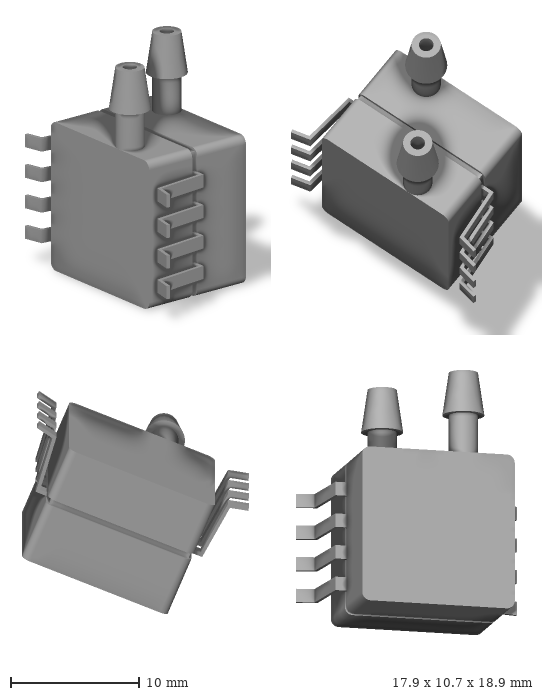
import cadquery as cq
import math


total_height = 18.92

housing_width = 12.32
housing_height = 12.34
front_shell_depth = 4.31
seam_depth = 0.5
back_shell_depth = 4.86
housing_depth = front_shell_depth + seam_depth + back_shell_depth
seam_inset = 0.26
corner_radius = 0.65

stem_diameter = 2.29
bore_diameter = 1.14
barb_base_diameter = 3.3
barb_tip_diameter = stem_diameter
barb_length = 3.4
port_spacing = 4.62
port_length = total_height - housing_height
stem_length = port_length - barb_length

lead_count = 4
lead_pitch = 2.54
lead_width = 1.08
lead_thickness = 0.28
lead_seam_gap = 0.05
lead_root_x = housing_width / 2 - seam_inset
shoulder_length = 1.14
leg_spread = 0.47
leg_drop = 4.56
foot_spread = 1.42
foot_drop = 0.32


def slab(width, height, front_y, depth):
    """Block centred on X and on the housing's mid-height, reaching back from front_y."""
    centre = (0, front_y + depth / 2, housing_height / 2)
    return cq.Workplane("XY").box(width, depth, height).translate(centre)


def shell(front_y, depth):
    """Half of the housing, with its four long corners rounded."""
    return slab(housing_width, housing_height, front_y, depth).edges("|Y").fillet(corner_radius)


def port(x, y):
    """Stem and tapered barb standing on the housing, bored along its whole length."""
    barb_base_z = housing_height + stem_length
    outline = [
        (bore_diameter / 2, housing_height),
        (stem_diameter / 2, housing_height),
        (stem_diameter / 2, barb_base_z),
        (barb_base_diameter / 2, barb_base_z),
        (barb_tip_diameter / 2, total_height),
        (bore_diameter / 2, total_height),
    ]
    turned = cq.Workplane("XZ").polyline(outline).close().revolve(360, (0, 0, 0), (0, 1, 0))
    return turned.translate((x, y, 0))


def make_housing():
    """Both shells, the seam plate and the two ports as one body."""
    seam_width = housing_width - 2 * seam_inset
    seam_height = housing_height - 2 * seam_inset
    body = shell(0, front_shell_depth)
    body = body.union(slab(seam_width, seam_height, front_shell_depth, seam_depth))
    body = body.union(shell(front_shell_depth + seam_depth, back_shell_depth))
    body = body.union(port(port_spacing / 2, stem_diameter / 2))
    return body.union(port(-port_spacing / 2, housing_depth - stem_diameter / 2))


def right_normal(start, end):
    """Unit vector pointing to the right of the way from start to end."""
    dx = end[0] - start[0]
    dy = end[1] - start[1]
    length = math.hypot(dx, dy)
    return (dy / length, -dx / length)


def inner_edge(outer, thickness):
    """Points of a bent strip's inner edge, mitred at the bends of its outer edge."""
    normals = [right_normal(start, end) for start, end in zip(outer, outer[1:])]
    before = normals[:1] + normals
    after = normals + normals[-1:]
    points = []
    for (x, y), (ax, ay), (bx, by) in zip(outer, before, after):
        reach = thickness / (1 + ax * bx + ay * by)
        points.append((x + reach * (ax + bx), y + reach * (ay + by)))
    return points


def make_lead(centre_z):
    """Bent lead on the +X side: shoulder, leg and foot."""
    shoulder_y = front_shell_depth + seam_depth - lead_seam_gap
    shoulder_x = lead_root_x + shoulder_length
    knee_x = shoulder_x + leg_spread
    knee_y = shoulder_y - leg_drop
    outer = [
        (lead_root_x, shoulder_y),
        (shoulder_x, shoulder_y),
        (knee_x, knee_y),
        (knee_x + foot_spread, knee_y - foot_drop),
    ]
    outline = outer + inner_edge(outer, lead_thickness)[::-1]
    strip = cq.Workplane("XY").polyline(outline).close().extrude(lead_width)
    return strip.translate((0, 0, centre_z - lead_width / 2))


housing = make_housing()

leads = []
for index in range(lead_count):
    centre_z = housing_height / 2 + (index - (lead_count - 1) / 2) * lead_pitch
    right_lead = make_lead(centre_z)
    leads.append(right_lead.val())
    leads.append(right_lead.mirror("YZ").val())

result = cq.Compound.makeCompound([housing.val(), *leads])